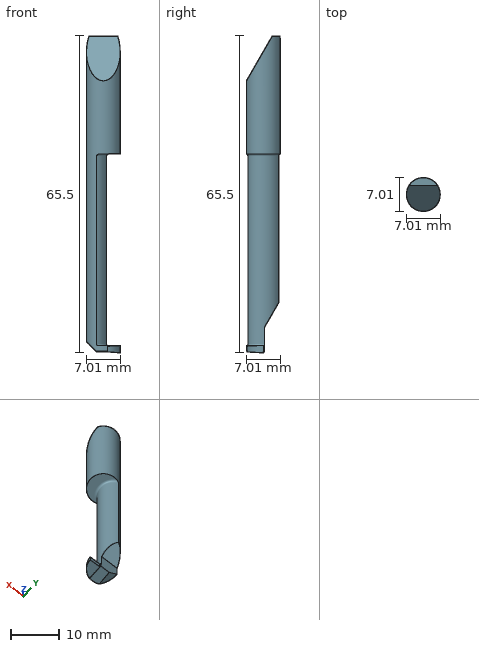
import cadquery as cq
import math

length = 65.5
radius = 3.505
margin = 1.3

end_slope = math.radians(60)
end_flat_y = 1.85

neck_offset = 2.8
neck_top = 41.15
neck_fillet = 0.5
head_fillet = 0.2

head_top = 1.6
head_relief = 0.2
holder_bottom = 0.2
chip_face_y = 0.25
chip_face_top = 5.3
chip_slope = math.radians(60)
corner_x = -1.4
corner_height = 2.35
tip_start_x = 0.885
tip_face_y = 0.0

reach = radius + margin


def bar(bottom):
    """Round bar from the given height up to the shank end."""
    return cq.Workplane("XY", origin=(0, 0, bottom)).circle(radius).extrude(length - bottom)


def along_x(points):
    """Prism across the full bar width from a Y-Z outline."""
    return cq.Workplane("YZ").polyline(points).close().extrude(reach, both=True)


def along_y(points):
    """Prism across the full bar depth from an X-Z outline."""
    return cq.Workplane("XZ").polyline(points).close().extrude(reach, both=True)


def end_flat_cutter():
    drop = (end_flat_y + reach) * math.tan(end_slope)
    return along_x([(end_flat_y, length), (-reach, length), (-reach, length - drop)])


def neck_cutter():
    """Material outside the eccentric neck, with rounded rims at both ends."""
    height = neck_top - head_top
    block = cq.Workplane("XY", origin=(0, 0, head_top)).rect(4 * reach, 4 * reach).extrude(height)
    neck = cq.Workplane("XY", origin=(-neck_offset, 0, head_top)).circle(radius).extrude(height)
    cutter = block.cut(neck)
    cutter = cutter.faces(">Z").edges("%CIRCLE").fillet(neck_fillet)
    return cutter.faces("<Z").edges("%CIRCLE").fillet(head_fillet)


def chip_face_cutter():
    rise = (reach - chip_face_y) * math.tan(chip_slope)
    return along_x([
        (chip_face_y, -margin),
        (chip_face_y, chip_face_top),
        (reach, chip_face_top + rise),
        (reach, -margin),
    ])


def corner_cutter():
    slope = (corner_height - holder_bottom) / (radius + corner_x)
    return along_y([
        (-reach, corner_height + slope * margin),
        (corner_x + margin / slope, holder_bottom - margin),
        (-reach, holder_bottom - margin),
    ])


def underside_cutter(bottom):
    """Clearance below the head, rising toward -Y."""
    relief_rise = head_relief * reach / radius
    return along_x([
        (0, bottom),
        (-reach, bottom + relief_rise),
        (-reach, -margin),
        (0, -margin),
    ])


def make_holder():
    holder = bar(holder_bottom).cut(end_flat_cutter()).cut(neck_cutter())
    holder = holder.cut(chip_face_cutter()).cut(corner_cutter())
    holder = holder.cut(underside_cutter(holder_bottom))
    tip_space = along_y([(tip_start_x, 0), (reach, 0), (reach, head_top), (tip_start_x, head_top)])
    return holder.cut(tip_space)


def make_tip():
    """Round-backed tip, tapered in depth and deepest at its outer cutting corner."""
    profile = along_x([
        (tip_face_y, 0),
        (tip_face_y, head_top),
        (-reach, head_top - head_relief * reach / radius),
        (-reach, head_relief * reach / radius),
    ])
    width_limit = along_y([
        (tip_start_x, holder_bottom),
        (radius, 0),
        (radius, head_top),
        (tip_start_x, head_top),
    ])
    return bar(0).intersect(profile).intersect(width_limit)


holder = make_holder()
tip = make_tip()
result = cq.Compound.makeCompound([holder.val(), tip.val()])